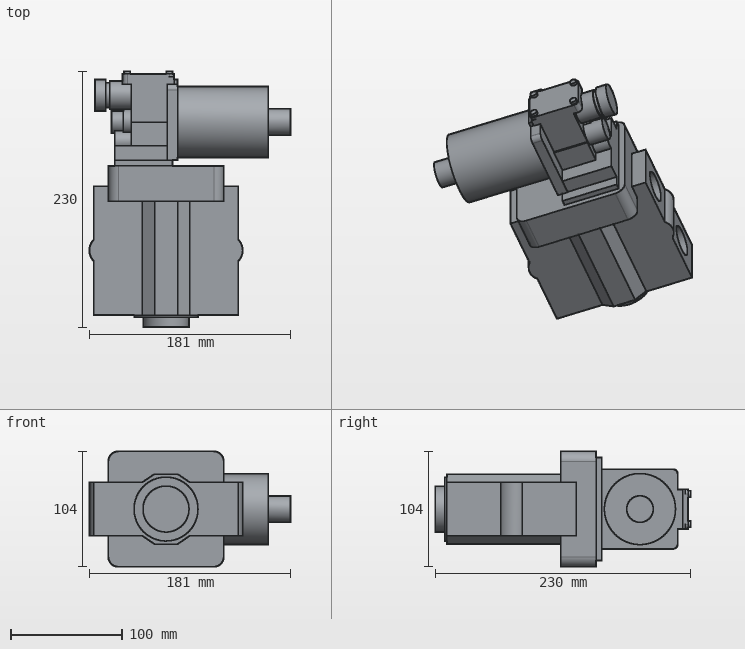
import cadquery as cq


body_length = 116.2
body_half_width = 65.0
body_height = 48.3
ridge_half_width = 21.2
ridge_crest_half_width = 10.4
ridge_half_height = 31.5

port_radius = 13.8
port_depth = 10.0
port_positions = (25.3, 91.3)
rib_y = sum(port_positions) / 2
rib_radius = 13.8
rib_reach = 69.0

washer_radius = 28.8
washer_thickness = 1.8
plug_radius = 20.7
plug_end_y = -10.5

plate_start_y = 102.4
plate_end_y = 134.3
plate_side = 104.0
plate_corner_radius = 9.2
gasket_end_y = 139.4
gasket_right_x = 6.0
gasket_height = 92.7
base_left_x = -46.2
base_end_y = 152.5
base_height = 70.8

flange_left_x = 1.0
flange_right_x = 10.4
flange_end_y = 207.7
flange_height = 72.0
flange_corner_radius = 4.8

pilot_left_x = -31.3
pilot_right_x = 7.4
pilot_height = 35.9
pilot_wide_height = 38.6
tab_end_y = 212.0
tab_height = 35.0
cap_left_x = -39.3
cap_start_y = flange_end_y
cap_end_y = 217.0
cap_rim_thickness = 2.8
cap_corner_radius = 4.4
screw_radius = 3.0
screw_height = 2.5

solenoid_y = 173.6
coil_radius = 32.0
coil_end_x = 92.0
tip_radius = 12.0
tip_end_x = 112.0

knob_y = 197.8
knob_end_x = -64.0
knob_neck_start_x = -54.0
knob_sleeve_start_x = -50.5
knob_radius = 14.3
knob_neck_radius = 11.3
knob_sleeve_radius = 12.9
pin_radius = 10.1
pin_end_x = -49.2
pin_z = -7.0
round_boss_radius = 11.0
round_boss_y = 174.0
round_boss_end_x = -38.5
low_boss_radius = 10.0
low_boss_y = 156.0


def block(x_range, y_range, height):
    """Box spanning the given X and Y ranges, centred on Z = 0."""
    x_start, x_end = x_range
    y_start, y_end = y_range
    return (
        cq.Workplane("XY")
        .box(x_end - x_start, y_end - y_start, height, centered=(False, False, True))
        .translate((x_start, y_start, 0))
    )


def cylinder_x(radius, x_start, x_end, y, z=0):
    """Cylinder along X between two X positions."""
    return cq.Workplane("YZ", origin=(x_start, y, z)).circle(radius).extrude(x_end - x_start)


def cylinder_y(radius, y_start, y_end, x=0, z=0):
    """Cylinder along Y between two Y positions."""
    return cq.Workplane("XZ", origin=(x, y_start, z)).circle(radius).extrude(y_start - y_end)


def make_valve_body():
    half_height = body_height / 2
    body = block((-body_half_width, body_half_width), (0, body_length), body_height)
    ridge = (
        cq.Workplane("XZ")
        .polyline([
            (-ridge_half_width, half_height),
            (-ridge_crest_half_width, ridge_half_height),
            (ridge_crest_half_width, ridge_half_height),
            (ridge_half_width, half_height),
            (ridge_half_width, -half_height),
            (ridge_crest_half_width, -ridge_half_height),
            (-ridge_crest_half_width, -ridge_half_height),
            (-ridge_half_width, -half_height),
        ])
        .close()
        .extrude(-body_length)
    )
    body = body.union(ridge)
    for side in (-1, 1):
        rib = (
            cq.Workplane("XY")
            .center(side * (rib_reach - rib_radius), rib_y)
            .circle(rib_radius)
            .extrude(half_height, both=True)
        )
        body = body.union(rib)
    for y in port_positions:
        body = body.cut(cylinder_x(port_radius, -body_half_width, port_depth - body_half_width, y))
    body = body.union(cylinder_y(washer_radius, -washer_thickness, 0))
    return body.union(cylinder_y(plug_radius, plug_end_y, 0))


def make_mounting_stack():
    half_side = plate_side / 2
    plate = block((-half_side, half_side), (plate_start_y, plate_end_y), plate_side)
    plate = plate.edges("|Y").fillet(plate_corner_radius)
    gasket = block((base_left_x, gasket_right_x), (plate_end_y, gasket_end_y), gasket_height)
    base = block((base_left_x, flange_right_x), (gasket_end_y, base_end_y), base_height)
    return plate.union(gasket).union(base)


def make_pilot_block():
    pilot = block((pilot_left_x, pilot_right_x), (base_end_y, cap_end_y - cap_rim_thickness), pilot_height)
    wide_part = block((pilot_left_x, flange_right_x), (base_end_y, solenoid_y), pilot_wide_height)
    tab = block((flange_left_x, flange_right_x), (solenoid_y, tab_end_y), tab_height)
    cap = block((cap_left_x, pilot_right_x), (cap_start_y, cap_end_y), pilot_height)
    cap = cap.edges("|Y").fillet(cap_corner_radius)
    pilot = pilot.union(wide_part).union(tab).union(cap)

    screw_z = pilot_height / 2 - cap_corner_radius
    for x in (cap_left_x + cap_corner_radius, pilot_right_x - cap_corner_radius):
        for z in (-screw_z, screw_z):
            pilot = pilot.union(cylinder_y(screw_radius, cap_end_y, cap_end_y + screw_height, x, z))
    return pilot


def make_solenoid():
    flange = block((flange_left_x, flange_right_x), (gasket_end_y, flange_end_y), flange_height)
    flange = flange.edges("|X and >Y").fillet(flange_corner_radius)
    coil = cylinder_x(coil_radius, flange_right_x, coil_end_x, solenoid_y)
    tip = cylinder_x(tip_radius, coil_end_x, tip_end_x, solenoid_y)
    return flange.union(coil).union(tip)


def make_controls():
    knob = cylinder_x(knob_radius, knob_end_x, knob_neck_start_x, knob_y)
    neck = cylinder_x(knob_neck_radius, knob_neck_start_x, knob_sleeve_start_x, knob_y)
    sleeve = cylinder_x(knob_sleeve_radius, knob_sleeve_start_x, pilot_left_x, knob_y)
    pin = cylinder_x(pin_radius, pin_end_x, pilot_left_x, solenoid_y, pin_z)
    round_boss = cylinder_x(round_boss_radius, round_boss_end_x, pilot_left_x, round_boss_y)
    low_boss = cylinder_x(low_boss_radius, base_left_x, pilot_left_x, low_boss_y)
    return knob.union(neck).union(sleeve).union(pin).union(round_boss).union(low_boss)


result = (
    make_valve_body()
    .union(make_mounting_stack())
    .union(make_pilot_block())
    .union(make_solenoid())
    .union(make_controls())
)